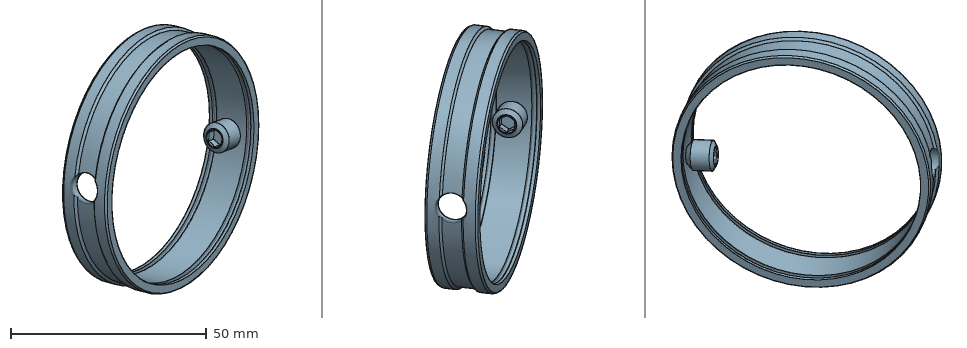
import cadquery as cq
import math

ring_width = 14.0
ring_radius = 68.0 / 2
bore_radius = 63.0 / 2
rim_chamfer_width = 0.6
rim_chamfer_angle = 30.0
rim_chamfer_depth = rim_chamfer_width * math.tan(math.radians(rim_chamfer_angle))

outer_groove_depth = 0.7
outer_groove_floor_width = 5.2
outer_groove_side_width = 0.6

bore_groove_radius = 64.0 / 2
bore_groove_width = 1.3
bore_groove_corner_radius = 0.2
lip_width = 1.0

axis_tilt = 5.0
access_hole_diameter = 8.0
access_hole_rounding = 0.2

screw_diameter = 8.0
screw_length = 7.4
head_diameter = 5.3
head_chamfer_length = 0.8
point_diameter = 4.8
point_chamfer_length = (screw_diameter - point_diameter) / 2
socket_sides = 6
socket_width = 4.0
socket_depth = 2.5
socket_mouth_diameter = 4.8

point_distance = math.sqrt(bore_radius**2 - (point_diameter / 2) ** 2)


def radial_plane(distance):
    """Plane across the tilted axis, facing the -Y side, at a distance from the centre toward +Y."""
    tilt = math.radians(axis_tilt)
    outward = cq.Vector(0, math.cos(tilt), -math.sin(tilt))
    return cq.Plane(origin=(outward * distance).toTuple(), xDir=(1, 0, 0), normal=(outward * -1).toTuple())


def make_ring_blank():
    """Plain bored ring with chamfered rims and the wide outer groove."""
    end = ring_width / 2
    rim_radius = ring_radius - rim_chamfer_depth
    floor_radius = ring_radius - outer_groove_depth
    floor_end = outer_groove_floor_width / 2
    half_outline = [
        (end, bore_radius),
        (end, rim_radius),
        (end - rim_chamfer_width, ring_radius),
        (floor_end + outer_groove_side_width, ring_radius),
        (floor_end, floor_radius),
    ]
    mirrored_outline = [(-x, radius) for x, radius in reversed(half_outline)]
    outline = cq.Workplane("XY").polyline(half_outline + mirrored_outline).close()
    return outline.revolve(360, (0, 0, 0), (1, 0, 0))


def make_bore_groove(side):
    """Ring of material to remove for the bore groove at one end (side is -1 or 1)."""
    centre = side * (ring_width / 2 - lip_width - bore_groove_width / 2)
    return (
        cq.Workplane("YZ", origin=(centre - bore_groove_width / 2, 0, 0))
        .circle(bore_groove_radius)
        .extrude(bore_groove_width)
        .edges()
        .fillet(bore_groove_corner_radius)
    )


def mouth_box():
    """Opposite corners of a box around the outer mouth of the access hole only."""
    half_size = access_hole_diameter
    return (-half_size, -2 * ring_radius, -half_size), (half_size, -(bore_radius + ring_radius) / 2, half_size)


def make_ring():
    """Ring with both bore grooves and a through access hole with a rounded outer mouth."""
    ring = make_ring_blank()
    for side in (-1, 1):
        ring = ring.cut(make_bore_groove(side))
    access_hole = cq.Workplane(radial_plane(0)).circle(access_hole_diameter / 2).extrude(2 * ring_radius)
    ring = ring.cut(access_hole)
    return ring.edges(cq.selectors.BoxSelector(*mouth_box())).fillet(access_hole_rounding)


def make_screw_blank():
    """Turned screw body: its height runs from the flat point at 0 to the head face."""
    return (
        cq.Workplane("XZ")
        .lineTo(point_diameter / 2, 0)
        .lineTo(screw_diameter / 2, point_chamfer_length)
        .lineTo(screw_diameter / 2, screw_length - head_chamfer_length)
        .lineTo(head_diameter / 2, screw_length)
        .lineTo(0, screw_length)
        .close()
        .revolve(360, (0, 0, 0), (0, 1, 0))
    )


def make_socket():
    """Hexagon recess with a 45 degree conical lead-in at the mouth."""
    half_corner_angle = 180 / socket_sides
    across_corners = socket_width / math.cos(math.radians(half_corner_angle))
    hexagon = cq.Workplane("XY").polygon(socket_sides, across_corners).extrude(-socket_depth)
    hexagon = hexagon.rotate((0, 0, 0), (0, 0, 1), half_corner_angle)
    mouth_radius = socket_mouth_diameter / 2
    cone = cq.Workplane(cq.Solid.makeCone(mouth_radius, 0, mouth_radius, dir=cq.Vector(0, 0, -1)))
    return hexagon.union(cone).translate((0, 0, screw_length))


def make_screw():
    """Set screw standing on the bore wall, with its socket facing the access hole."""
    upright = make_screw_blank().cut(make_socket())
    return cq.Workplane(upright.val().moved(cq.Location(radial_plane(point_distance))))


ring = make_ring()
screw = make_screw()

result = cq.Compound.makeCompound([ring.val(), screw.val()])